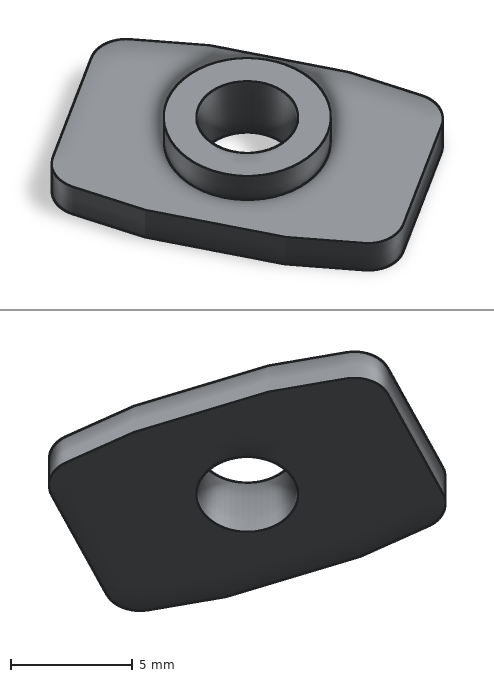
import cadquery as cq
import math

plate_length = 15.0
plate_width = 10.0
plate_thickness = 1.6
side_flat_length = 6.0
end_flat_length = 6.0
corner_radius = 1.5
total_height = 3.0
boss_diameter = 6.9
bore_diameter = 4.2

half_length = plate_length / 2
half_width = plate_width / 2
half_side_flat = side_flat_length / 2

center_dx = half_length - corner_radius - half_side_flat
center_dy = half_width - end_flat_length / 2
taper_angle = math.atan2(center_dy, center_dx) - math.asin(corner_radius / math.hypot(center_dx, center_dy))
taper_drop = (half_length - half_side_flat) * math.tan(taper_angle)
corner_y = half_width - taper_drop


def make_plate():
    """Plate with tapered long sides and four rounded corners."""
    outline = [
        (-half_length, -corner_y),
        (-half_side_flat, -half_width),
        (half_side_flat, -half_width),
        (half_length, -corner_y),
        (half_length, corner_y),
        (half_side_flat, half_width),
        (-half_side_flat, half_width),
        (-half_length, corner_y),
    ]
    plate = cq.Workplane("XY").polyline(outline).close().extrude(plate_thickness)
    end_edges = plate.faces("<X or >X").edges("|Z")
    return end_edges.fillet(corner_radius)


def add_boss(body):
    """Round boss in the middle of the plate, rising to the total height."""
    boss = cq.Workplane("XY").circle(boss_diameter / 2).extrude(total_height)
    return body.union(boss)


def cut_bore(body):
    """Bore passing through boss and plate."""
    bore = cq.Workplane("XY").circle(bore_diameter / 2).extrude(total_height)
    return body.cut(bore)


result = cut_bore(add_boss(make_plate()))